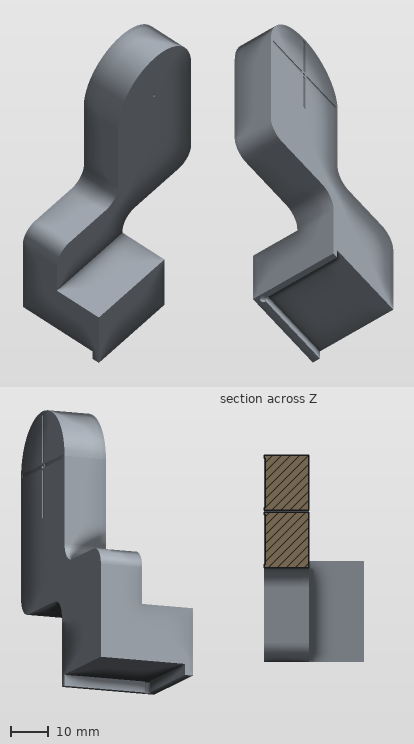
import cadquery as cq


plate_thickness = 11.9
head_radius = 15.0
head_center_y = 40.0
head_center_z = 62.34
corner_radius = 5.0
shoulder_z = head_center_z - 29.0
head_bottom_z = 24.1
head_near_y = head_center_y - head_radius
head_far_y = head_center_y + head_radius
head_top_z = head_center_z + head_radius

foot_length = 26.5
foot_width = 26.9
foot_height = 18.3

recess_depth = 3.0
lip_thickness_x = 2.3
lip_thickness_y = 1.7
corner_relief_radius = 1.0

target_hole_diameter = 1.0
groove_width = 1.0
groove_depth = 0.2
groove_inner_radius = 1.0
groove_outer_radius = 14.0
groove_count = 4


def make_plate():
    """S-shaped plate: a foot, a shoulder and a round-topped head."""
    plate = (
        cq.Workplane("YZ")
        .moveTo(0, 0)
        .lineTo(foot_width, 0)
        .lineTo(foot_width, head_bottom_z)
        .lineTo(head_far_y, head_bottom_z)
        .lineTo(head_far_y, head_center_z)
        .threePointArc((head_center_y, head_top_z), (head_near_y, head_center_z))
        .lineTo(head_near_y, shoulder_z)
        .lineTo(0, shoulder_z)
        .close()
        .extrude(plate_thickness)
    )
    rounded_corners = [
        (foot_width, head_bottom_z),
        (head_far_y, head_bottom_z),
        (head_near_y, shoulder_z),
        (0, shoulder_z),
    ]
    mid_x = plate_thickness / 2
    for y, z in rounded_corners:
        corner_edge = cq.selectors.NearestToPointSelector((mid_x, y, z))
        plate = plate.edges("|X").edges(corner_edge).fillet(corner_radius)
    return plate


def make_foot():
    """Rectangular block carrying the plate."""
    return cq.Workplane("XY").box(foot_length, foot_width, foot_height, centered=False)


def make_foot_recess():
    """Underside recess open to -X and -Y, with a round relief centred on its inner corner."""
    inner_x = foot_length - lip_thickness_x
    inner_y = foot_width - lip_thickness_y
    pocket = cq.Workplane("XY").box(inner_x, inner_y, recess_depth, centered=False)
    relief = cq.Workplane("XY").center(inner_x, inner_y).circle(corner_relief_radius).extrude(recess_depth)
    return pocket.union(relief)


def make_target_hole():
    """Small sight hole through the plate at the head centre."""
    return (
        cq.Workplane("YZ")
        .center(head_center_y, head_center_z)
        .circle(target_hole_diameter / 2)
        .extrude(plate_thickness)
    )


def make_target_groove(angle):
    """One radial arm of the crosshair, sunk into the X = 0 face."""
    groove_length = groove_outer_radius - groove_inner_radius
    return (
        cq.Workplane("YZ")
        .center((groove_inner_radius + groove_outer_radius) / 2, 0)
        .rect(groove_length, groove_width)
        .extrude(groove_depth)
        .rotate((0, 0, 0), (1, 0, 0), angle)
        .translate((0, head_center_y, head_center_z))
    )


result = make_plate().union(make_foot()).cut(make_foot_recess()).cut(make_target_hole())
for arm in range(groove_count):
    result = result.cut(make_target_groove(arm * 360 / groove_count))